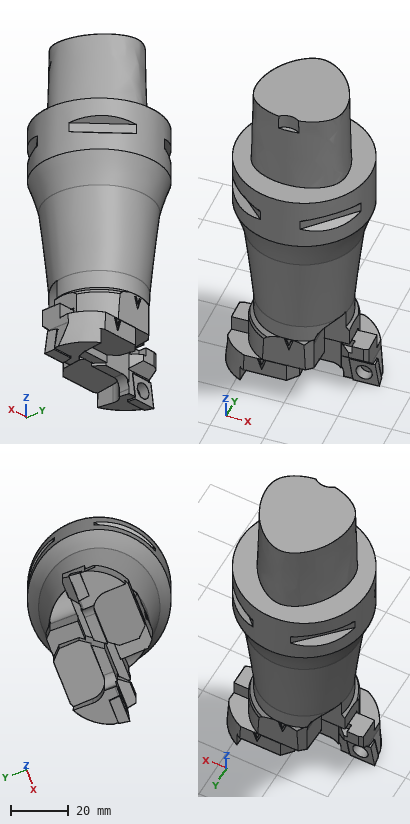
import cadquery as cq
import math


SHANK_LENGTH = 30.0
SHANK_RADIUS = 17.5
SHANK_LOBE = 1.1
SHANK_TAPER = 1 / 40
NOTCH_RADIUS = 5.7
NOTCH_HEIGHT = 5.4
NOTCH_FLOOR_Y = -14.05

FLANGE_RADIUS = 25.0
FLANGE_BOTTOM = -20.0
SHOULDER_RADIUS = 21.1
SHOULDER_MID_RADIUS = 22.8
SHOULDER_BOTTOM = -32.0
NECK_RADIUS = 17.6
NECK_MID_RADIUS = 19.2
NECK_BOTTOM = -63.8
GRIP_DISTANCE = 22.1
GRIP_Z = -10.25
GRIP_FLOOR_HEIGHT = 3.5
GRIP_FLANK_ANGLE = 30.0

COLLAR_BOTTOM = -70.4
HEAD_BEVEL_RADIUS = 18.9
HEAD_BEVEL_BOTTOM = -71.9
HEAD_RADIUS = 19.35
HEAD_TOP = -73.1
HEAD_HALF_X = 18.4
HEAD_HALF_Y = 17.45
HEAD_LOW_HALF_Y = 17.05
HEAD_CORNER = 2.7
SEAT_APEX_Z = -85.15
SEAT_SLOPE = 0.115
KEYWAY_HALF = 4.4
KEYWAY_TOP = -78.1
GULLET_X = 9.1
GULLET_RADIUS = 8.8
GULLET_ARC_Z = -72.4

SLIDE_TOP = -78.9
SLIDE_HALF_Y = 17.2
SKIN_TOP_CENTRE = 8.1
SKIN_TOP_RADIUS = 18.8
SKIN_LOW_CENTRE = 9.35
SKIN_LOW_RADIUS = 18.65
SLIDE_BOTTOM = -97.3
LEG_BOTTOM_SLOPE = 0.1
FACE_Y = -1.2
WING_END_X = -3.4
WING_END_Y = 6.2
FACE_END_X = 2.1
WING_CORNER = 3.6
WING_APEX_Z = -88.05
WING_SLOPE = 0.118
LEG_WALL_X = 17.6
WEB_Y = 2.8
LEG_FILLET = 6.5
ARCH_Z = -91.4
ARCH_X = 14.8
ARCH_RADIUS = 4.0
END_X = 25.4
END_KNEE_Z = -87.7
END_LOW_X = 27.3
END_BEVEL_LENGTH = 1.7
END_BEVEL_DEPTH = 0.6
POCKET_X = 14.1
POCKET_TOP = -81.2
POCKET_FACE_Y = -0.6
LUMP_X = 18.0
LUMP_BOTTOM = -84.5
LUMP_SLOPE_BOTTOM = -87.9
LUMP_STEP_X = 19.3
LUMP_STEP_Z = -82.0

INSERT_TIP_X = 27.995
INSERT_TIP_Z = -98.0
INSERT_WIDTH = 9.7
INSERT_HEIGHT = 9.55
INSERT_LEAN = 1.53
INSERT_THICKNESS = 3.97
INSERT_RELIEF = 7.0
INSERT_FACE_Y = -0.4
INSERT_HOLE = 6.0

MARK_WIDTH = 3.0
MARK_HEIGHT = 4.4
MARK_DEPTH = 0.25
MARK_STROKE = 0.55
BODY_MARK_X = 0.75
BODY_MARK_TOP = -71.1
SLIDE_MARK_X = 9.4
SLIDE_MARK_TOP = -83.4

REACH = 40.0
LOW = -105.0


def half_turn(shape):
    """The same shape on the opposite side of the tool axis."""
    return shape.rotate((0, 0, 0), (0, 0, 1), 180)


def prism_x(points, x_from, x_to):
    """Prism along X from (y, z) points."""
    return cq.Workplane("YZ", origin=(x_from, 0, 0)).polyline(points).close().extrude(x_to - x_from)


def prism_y(points, y_from, y_to):
    """Prism along Y from (x, z) points."""
    return cq.Workplane("XZ", origin=(0, y_from, 0)).polyline(points).close().extrude(y_from - y_to)


def prism_z(points, z_from, z_to):
    """Prism along Z from (x, y) points."""
    return cq.Workplane("XY", origin=(0, 0, z_from)).polyline(points).close().extrude(z_to - z_from)


def block(x_from, x_to, y_from, y_to, z_from, z_to):
    corners = [(x_from, y_from), (x_to, y_from), (x_to, y_to), (x_from, y_to)]
    return prism_z(corners, z_from, z_to)


def index_mark(x, y, top):
    """V-shaped engraving that sinks from the plane at y towards +Y."""
    def triangle(scale):
        half = scale * MARK_WIDTH / 2
        corners = [(x - half, top), (x + half, top), (x, top - scale * MARK_HEIGHT)]
        return prism_y(corners, y - MARK_DEPTH, y + MARK_DEPTH)
    return triangle(1).cut(triangle(MARK_STROKE))


def polygon_point(radius, angle):
    """Point of a three-lobed curve whose support is radius + lobe * cos(3 * angle from +Y)."""
    lobe_angle = 3 * (angle - math.pi / 2)
    support = radius + SHANK_LOBE * math.cos(lobe_angle)
    slope = -3 * SHANK_LOBE * math.sin(lobe_angle)
    x = support * math.cos(angle) - slope * math.sin(angle)
    y = support * math.sin(angle) + slope * math.cos(angle)
    return (x, y)


def make_shank():
    top_radius = SHANK_RADIUS - SHANK_TAPER * SHANK_LENGTH
    steps = 36
    angles = [2 * math.pi * step / steps for step in range(steps)]
    base = [polygon_point(SHANK_RADIUS, angle) for angle in angles]
    top = [polygon_point(top_radius, angle) for angle in angles]
    shank = (
        cq.Workplane("XY")
        .spline(base, periodic=True).close()
        .workplane(offset=SHANK_LENGTH)
        .spline(top, periodic=True).close()
        .loft(ruled=True)
    )
    notch = (
        cq.Workplane("XY", origin=(0, NOTCH_FLOOR_Y - NOTCH_RADIUS, SHANK_LENGTH))
        .circle(NOTCH_RADIUS)
        .extrude(-NOTCH_HEIGHT)
    )
    return shank.cut(notch)


def make_turned_part():
    shoulder_mid_z = (FLANGE_BOTTOM + SHOULDER_BOTTOM) / 2
    neck_mid_z = (SHOULDER_BOTTOM + NECK_BOTTOM) / 2
    return (
        cq.Workplane("XZ")
        .lineTo(FLANGE_RADIUS, 0)
        .lineTo(FLANGE_RADIUS, FLANGE_BOTTOM)
        .threePointArc((SHOULDER_MID_RADIUS, shoulder_mid_z), (SHOULDER_RADIUS, SHOULDER_BOTTOM))
        .threePointArc((NECK_MID_RADIUS, neck_mid_z), (NECK_RADIUS, NECK_BOTTOM))
        .lineTo(NECK_RADIUS, COLLAR_BOTTOM)
        .lineTo(0, COLLAR_BOTTOM)
        .close()
        .revolve(360, (0, 0, 0), (0, 1, 0))
    )


def make_head():
    """Flattened round head whose sloped underside is the seat of the slides."""
    head = (
        cq.Workplane("XZ")
        .moveTo(0, COLLAR_BOTTOM)
        .lineTo(NECK_RADIUS, COLLAR_BOTTOM)
        .lineTo(HEAD_BEVEL_RADIUS, HEAD_BEVEL_BOTTOM)
        .lineTo(HEAD_RADIUS, HEAD_TOP)
        .lineTo(HEAD_RADIUS, SEAT_APEX_Z)
        .lineTo(0, SEAT_APEX_Z)
        .close()
        .revolve(360, (0, 0, 0), (0, 1, 0))
    )
    seat_edge_z = SEAT_APEX_Z + SEAT_SLOPE * HEAD_LOW_HALF_Y
    section = [
        (-HEAD_HALF_Y, COLLAR_BOTTOM),
        (-HEAD_LOW_HALF_Y, seat_edge_z),
        (0, SEAT_APEX_Z),
        (HEAD_LOW_HALF_Y, seat_edge_z),
        (HEAD_HALF_Y, COLLAR_BOTTOM),
    ]
    return head.intersect(prism_x(section, -HEAD_HALF_X, HEAD_HALF_X))


def make_grip_groove():
    """Groove across the flange on the +X side, with sloped flanks."""
    depth = REACH - GRIP_DISTANCE
    half_floor = GRIP_FLOOR_HEIGHT / 2
    half_mouth = half_floor + depth * math.tan(math.radians(GRIP_FLANK_ANGLE))
    section = [
        (GRIP_DISTANCE, GRIP_Z - half_floor),
        (GRIP_DISTANCE, GRIP_Z + half_floor),
        (REACH, GRIP_Z + half_mouth),
        (REACH, GRIP_Z - half_mouth),
    ]
    return prism_y(section, -REACH, REACH)


def make_gullet():
    """Chip gullet at +X, -Y: a flat floor, an upright wall and an arc at the top."""
    arc_x = GULLET_X + GULLET_RADIUS
    arc_end = (arc_x, GULLET_ARC_Z + GULLET_RADIUS)
    turn = GULLET_RADIUS * math.sqrt(0.5)
    return (
        cq.Workplane("XZ", origin=(0, -KEYWAY_HALF, 0))
        .moveTo(GULLET_X, LOW)
        .lineTo(GULLET_X, GULLET_ARC_Z)
        .threePointArc((arc_x - turn, GULLET_ARC_Z + turn), arc_end)
        .lineTo(REACH, arc_end[1])
        .lineTo(REACH, LOW)
        .close()
        .extrude(REACH)
    )


def make_body():
    body = make_turned_part().union(make_shank()).union(make_head())
    for quarter in range(4):
        body = body.cut(make_grip_groove().rotate((0, 0, 0), (0, 0, 1), 45 + 90 * quarter))
    body = body.cut(block(-REACH, REACH, -KEYWAY_HALF, KEYWAY_HALF, LOW, KEYWAY_TOP))
    corner = prism_z(
        [
            (GULLET_X - HEAD_CORNER, -HEAD_HALF_Y),
            (GULLET_X + HEAD_CORNER, -HEAD_HALF_Y + 2 * HEAD_CORNER),
            (GULLET_X + HEAD_CORNER, -HEAD_HALF_Y),
        ],
        LOW,
        COLLAR_BOTTOM,
    )
    mark = index_mark(BODY_MARK_X, -HEAD_HALF_Y, BODY_MARK_TOP)
    for cutter in (make_gullet(), corner, mark):
        body = body.cut(cutter).cut(half_turn(cutter))
    return body


def insert_outline():
    right_top = INSERT_TIP_X - INSERT_LEAN
    top = INSERT_TIP_Z + INSERT_HEIGHT
    return [
        (INSERT_TIP_X, INSERT_TIP_Z),
        (right_top, top),
        (right_top - INSERT_WIDTH, top),
        (INSERT_TIP_X - INSERT_WIDTH, INSERT_TIP_Z),
    ]


def make_insert_blank():
    return (
        cq.Workplane("XZ", origin=(0, INSERT_FACE_Y, 0))
        .polyline(insert_outline()).close()
        .extrude(-INSERT_THICKNESS, taper=INSERT_RELIEF)
    )


def make_insert():
    centre_x = INSERT_TIP_X - (INSERT_WIDTH + INSERT_LEAN) / 2
    centre_z = INSERT_TIP_Z + INSERT_HEIGHT / 2
    hole = (
        cq.Workplane("XZ", origin=(centre_x, INSERT_FACE_Y, centre_z))
        .circle(INSERT_HOLE / 2)
        .extrude(-INSERT_THICKNESS)
    )
    return make_insert_blank().cut(hole)


def make_slide_blank():
    skin = (
        cq.Workplane("XY", origin=(SKIN_LOW_CENTRE, 0, SLIDE_BOTTOM))
        .circle(SKIN_LOW_RADIUS)
        .workplane(offset=SLIDE_TOP - SLIDE_BOTTOM)
        .center(SKIN_TOP_CENTRE - SKIN_LOW_CENTRE, 0)
        .circle(SKIN_TOP_RADIUS)
        .loft(ruled=True)
    )
    footprint = [
        (FACE_END_X, FACE_Y),
        (WING_END_X, WING_END_Y),
        (WING_END_X, SLIDE_HALF_Y - WING_CORNER),
        (WING_END_X + WING_CORNER, SLIDE_HALF_Y),
        (REACH, SLIDE_HALF_Y),
        (REACH, -KEYWAY_HALF),
        (POCKET_X, -KEYWAY_HALF),
        (POCKET_X, FACE_Y),
    ]
    inner = block(-REACH, SKIN_TOP_CENTRE, -REACH, REACH, SLIDE_BOTTOM, SLIDE_TOP)
    return prism_z(footprint, SLIDE_BOTTOM, SLIDE_TOP).intersect(skin.union(inner))


def cut_above_seat():
    """Space above the wing, where the body's seat rests."""
    section = [
        (KEYWAY_HALF, SEAT_APEX_Z + SEAT_SLOPE * KEYWAY_HALF),
        (REACH, SEAT_APEX_Z + SEAT_SLOPE * REACH),
        (REACH, 0),
        (KEYWAY_HALF, 0),
    ]
    return prism_x(section, -REACH, REACH)


def cut_under_wing():
    """Space under the wing, closed by the web, a hollow fillet and the leg wall."""
    turn = LEG_FILLET * (1 - math.sqrt(0.5))
    space = (
        cq.Workplane("XY", origin=(0, 0, LOW))
        .moveTo(-REACH, WEB_Y)
        .lineTo(LEG_WALL_X - LEG_FILLET, WEB_Y)
        .threePointArc((LEG_WALL_X - turn, WEB_Y + turn), (LEG_WALL_X, WEB_Y + LEG_FILLET))
        .lineTo(LEG_WALL_X, REACH)
        .lineTo(-REACH, REACH)
        .close()
        .extrude(SLIDE_TOP - LOW)
    )
    section = [(0, LOW), (0, WING_APEX_Z), (REACH, WING_APEX_Z - WING_SLOPE * REACH), (REACH, LOW)]
    return space.intersect(prism_x(section, -REACH, REACH))


def cut_arch():
    """Arch between the two legs, with a rounded inner corner."""
    turn = ARCH_RADIUS * (1 - math.sqrt(0.5))
    return (
        cq.Workplane("XZ", origin=(0, REACH, 0))
        .moveTo(-REACH, ARCH_Z)
        .lineTo(ARCH_X - ARCH_RADIUS, ARCH_Z)
        .threePointArc((ARCH_X - turn, ARCH_Z - turn), (ARCH_X, ARCH_Z - ARCH_RADIUS))
        .lineTo(ARCH_X, LOW)
        .lineTo(-REACH, LOW)
        .close()
        .extrude(2 * REACH)
    )


def cut_leg_bottom():
    """Slight slopes that rise from the mid plane to both sides."""
    edge_z = SLIDE_BOTTOM + LEG_BOTTOM_SLOPE * REACH
    section = [(-REACH, edge_z), (0, SLIDE_BOTTOM), (REACH, edge_z), (REACH, LOW), (-REACH, LOW)]
    return prism_x(section, -REACH, REACH)


def cut_outer_end():
    """Upright end face, leaning outward beside the insert, with a bevelled front edge."""
    outline = [
        (END_X, 0),
        (END_X, END_KNEE_Z),
        (END_LOW_X, SLIDE_BOTTOM),
        (REACH, SLIDE_BOTTOM),
        (REACH, 0),
    ]
    bevel = [
        (END_X - END_BEVEL_LENGTH, -KEYWAY_HALF),
        (END_X, -KEYWAY_HALF + END_BEVEL_DEPTH),
        (END_X, -KEYWAY_HALF),
    ]
    return prism_y(outline, -REACH, REACH).union(prism_z(bevel, LOW, 0))


def cut_chip_pocket():
    """Pocket in front of the insert, with slopes under and beside the lump above it."""
    front = -REACH
    lump_y = -KEYWAY_HALF
    beside = prism_z(
        [(POCKET_X, POCKET_FACE_Y), (LUMP_X, lump_y), (LUMP_X, front), (POCKET_X, front)],
        LOW,
        POCKET_TOP,
    )
    under = prism_x(
        [
            (POCKET_FACE_Y, LUMP_SLOPE_BOTTOM),
            (lump_y, LUMP_BOTTOM),
            (front, LUMP_BOTTOM),
            (front, LOW),
            (POCKET_FACE_Y, LOW),
        ],
        POCKET_X,
        REACH,
    )
    step = block(POCKET_X, LUMP_STEP_X, front, FACE_Y, LUMP_STEP_Z, 0)
    return beside.union(under).union(step)


def cut_insert_seat():
    """Seat that fits the insert and is open towards -Y."""
    opening = prism_y(insert_outline(), -REACH, INSERT_FACE_Y)
    return opening.union(make_insert_blank())


def make_slide():
    slide = make_slide_blank()
    cutters = (
        cut_above_seat(),
        cut_under_wing(),
        cut_arch(),
        cut_leg_bottom(),
        cut_outer_end(),
        cut_chip_pocket(),
        cut_insert_seat(),
        half_turn(index_mark(-SLIDE_MARK_X, -SLIDE_HALF_Y, SLIDE_MARK_TOP)),
    )
    for cutter in cutters:
        slide = slide.cut(cutter)
    return slide


body = make_body()
solids = [body.val()]
for part in (make_slide(), make_insert()):
    solids += part.vals()
    solids += half_turn(part).vals()

result = cq.Compound.makeCompound(solids)